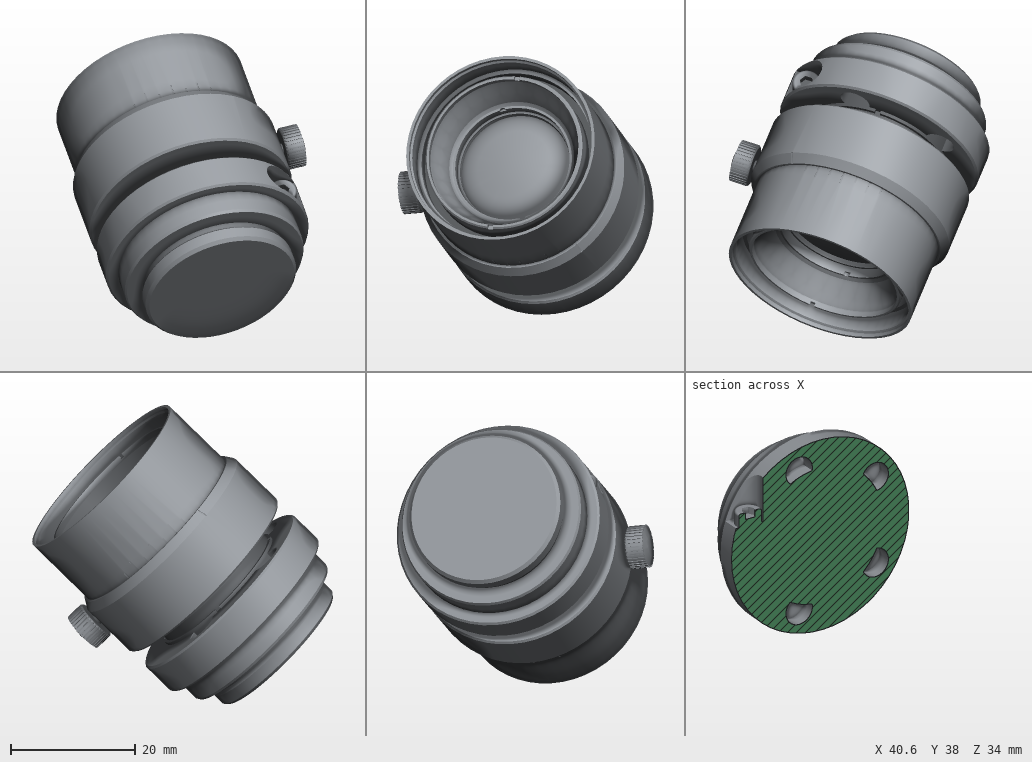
import cadquery as cq
import math

length = 40.6
overall_depth = 37.95
overall_height = 34.0

barrel_radius = 31.3 / 2
body_start = 12.4
body_radius = overall_height / 2
body_cone_length = 1.45
body_cone_radius = 16.1
body_end = 23.45
edge_chamfer = 0.32

groove_radius = 22.5 / 2
groove_end = 24.25
neck_start = 24.6
neck_radius = 11.45
flange_start = 26.4
flange_radius = 12.02

ring_start = 26.95
ring_end = 32.75
mount_end = 36.8
mount_radius = 30.0 / 2
mount_chamfer_length = 0.45
mount_chamfer_depth = 0.25
relief_end = 37.75
relief_radius = 12.15
thread_radius = 12.65
thread_chamfer_length = 0.53

rim_radius = 15.2
rim_depth = 0.7
filter_radius = 14.9
filter_depth = 4.3
trough_step_radius = 14.2
trough_depth = 6.5
retainer_radius = 13.05
retainer_front = 2.05
retainer_chamfer = 0.25
funnel_start_radius = 12.45
funnel_start_depth = 3.05
funnel_end_radius = 10.4
funnel_end_depth = 7.25
inner_ring_outer_radius = 19.8 / 2
inner_ring_front = 7.65
inner_ring_radius = 19.0 / 2
inner_ring_depth = 9.3
lens_seat_radius = 9.15
lens_seat_depth = 9.6
lens_radius = 18.0 / 2
lens_edge_depth = 10.07
lens_bulge = 1.2

notch_angle = 10.0
outer_notch_diameter = 1.0
outer_notch_circle = 12.75
inner_notch_diameter = 1.1
inner_notch_circle = 9.3
notch_depth = 0.6

flange_slot_width = 0.85
flange_slot_count = 4

pocket_diameter = 4.95
pocket_circle = 13.0
pocket_depth = 4.87
pocket_places = 5

screw_x = (ring_start + ring_end) / 2
screw_y = 13.4
screw_seat_z = 5.35
screw_seat_width = 5.05
screw_head_diameter = 4.5
screw_head_top = 7.7
screw_head_fillet = 0.4
socket_flats = 2.0
socket_depth = 1.2

knob_x = 16.4
knob_diameter = 6.9
knob_start = 17.4
knob_crown_start = 20.45
knob_end = overall_depth - body_radius
knob_chamfer = 0.25
stem_diameter = 2.0
knurl_count = 36
knurl_width = 0.25
knurl_depth = 0.15

mark_width = 0.3
index_mark_angle = 35.8
index_mark_depth = 0.12
tick_depth = 0.06
tick_count = 7
tick_pitch = 8.0
tick_middle_angle = -1.6
short_tick = 1.05
long_tick = 2.07


def polar(radius, angle):
    """Y and Z of a point; the angle runs from +Z towards -Y, in degrees."""
    turn = math.radians(angle)
    return -radius * math.sin(turn), radius * math.cos(turn)


def rod(x, y, z, diameter, depth):
    """A cylinder that starts at (x, y, z) and runs along +X."""
    return cq.Workplane("YZ", origin=(x, y, z)).circle(diameter / 2).extrude(depth)


def about_axis(profile):
    """Revolve a closed XY outline around the optical axis."""
    return profile.close().revolve(360, (0, 0, 0), (1, 0, 0))


def front_section():
    """Barrel, focus body and neck up to the clamp ring."""
    outline = (
        cq.Workplane("XY")
        .moveTo(0, 0)
        .lineTo(0, barrel_radius)
        .lineTo(body_start, barrel_radius)
        .lineTo(body_start, body_cone_radius)
        .lineTo(body_start + body_cone_length, body_radius)
        .lineTo(body_end - edge_chamfer, body_radius)
        .lineTo(body_end, body_radius - edge_chamfer)
        .lineTo(body_end, groove_radius)
        .lineTo(groove_end, groove_radius)
        .lineTo(neck_start, neck_radius)
        .lineTo(flange_start, neck_radius)
        .lineTo(flange_start, flange_radius)
        .lineTo(ring_end, flange_radius)
        .lineTo(ring_end, 0)
    )
    section = about_axis(outline)
    for i in range(flange_slot_count):
        slot = (
            cq.Workplane("XY")
            .box(ring_start - flange_start, flange_slot_width, flange_radius, centered=(False, True, False))
            .translate((flange_start, 0, neck_radius))
            .rotate((0, 0, 0), (1, 0, 0), i * 360 / flange_slot_count)
        )
        section = section.cut(slot)
    return section


def clamp_ring():
    """Chamfered ring with pockets spaced evenly around it, none at the clamp screw on +Y."""
    ring = (
        cq.Workplane("YZ", origin=(ring_start, 0, 0))
        .circle(body_radius)
        .extrude(ring_end - ring_start)
        .edges()
        .chamfer(edge_chamfer)
    )
    for i in range(1, pocket_places):
        y, z = polar(pocket_circle, -90 + i * 360 / pocket_places)
        ring = ring.cut(rod(ring_start, y, z, pocket_diameter, pocket_depth))
    return ring


def camera_mount():
    """Shoulder behind the clamp ring, thread relief and chamfered thread cylinder."""
    outline = (
        cq.Workplane("XY")
        .moveTo(ring_end, 0)
        .lineTo(ring_end, mount_radius)
        .lineTo(mount_end - mount_chamfer_length, mount_radius)
        .lineTo(mount_end, mount_radius - mount_chamfer_depth)
        .lineTo(mount_end, relief_radius)
        .lineTo(relief_end, relief_radius)
        .lineTo(relief_end + thread_radius - relief_radius, thread_radius)
        .lineTo(length - thread_chamfer_length, thread_radius)
        .lineTo(length, relief_radius)
        .lineTo(length, 0)
    )
    return about_axis(outline)


def front_cavity():
    """Stepped opening around a standing retainer ring, ending on the convex front lens."""
    lens_sphere_radius = (lens_radius**2 + lens_bulge**2) / (2 * lens_bulge)
    lens_apex = lens_edge_depth - lens_bulge
    half_angle = math.asin(lens_radius / lens_sphere_radius) / 2
    lens_mid_x = lens_apex + lens_sphere_radius * (1 - math.cos(half_angle))
    lens_mid_radius = lens_sphere_radius * math.sin(half_angle)
    outline = (
        cq.Workplane("XY")
        .moveTo(0, 0)
        .lineTo(0, rim_radius)
        .lineTo(rim_depth, rim_radius)
        .lineTo(rim_depth + rim_radius - filter_radius, filter_radius)
        .lineTo(filter_depth, filter_radius)
        .lineTo(filter_depth, trough_step_radius)
        .lineTo(trough_depth, trough_step_radius)
        .lineTo(trough_depth, retainer_radius)
        .lineTo(retainer_front + retainer_chamfer, retainer_radius)
        .lineTo(retainer_front, retainer_radius - retainer_chamfer)
        .lineTo(retainer_front, funnel_start_radius)
        .lineTo(funnel_start_depth, funnel_start_radius)
        .lineTo(funnel_end_depth, funnel_end_radius)
        .lineTo(inner_ring_front, inner_ring_outer_radius)
        .lineTo(inner_ring_front, inner_ring_radius)
        .lineTo(inner_ring_depth, inner_ring_radius)
        .lineTo(inner_ring_depth, lens_seat_radius)
        .lineTo(lens_seat_depth, lens_seat_radius)
        .lineTo(lens_edge_depth, lens_radius)
        .threePointArc((lens_mid_x, lens_mid_radius), (lens_apex, 0))
    )
    return about_axis(outline)


def spanner_notches():
    """Opposite pairs of blind notches in the retainer ring and the inner ring."""
    notches = cq.Workplane("XY")
    for side in (0, 180):
        y, z = polar(outer_notch_circle, notch_angle + side)
        notches = notches.add(rod(retainer_front, y, z, outer_notch_diameter, notch_depth))
        y, z = polar(inner_notch_circle, side - notch_angle)
        notches = notches.add(rod(inner_ring_front, y, z, inner_notch_diameter, notch_depth))
    return notches.combine()


def screw_seat():
    """U-shaped flat cut into the clamp ring, open towards +Y."""
    seat_plane = cq.Workplane("XY", origin=(screw_x, screw_y, screw_seat_z))
    round_end = seat_plane.circle(screw_seat_width / 2).extrude(body_radius)
    open_end = seat_plane.rect(screw_seat_width, body_radius).extrude(body_radius)
    open_end = open_end.translate((0, body_radius / 2, 0))
    return round_end.union(open_end)


def clamp_screw():
    """Rounded cylindrical head with a hexagon socket."""
    socket_corners = socket_flats / math.cos(math.pi / 6)
    head = (
        cq.Workplane("XY", origin=(screw_x, screw_y, screw_seat_z))
        .circle(screw_head_diameter / 2)
        .extrude(screw_head_top - screw_seat_z)
        .faces(">Z")
        .edges()
        .fillet(screw_head_fillet)
    )
    socket = (
        cq.Workplane("XY", origin=(screw_x, screw_y, screw_head_top))
        .transformed(rotate=(0, 0, 30))
        .polygon(6, socket_corners)
        .extrude(-socket_depth)
    )
    return head.cut(socket)


def thumb_screw():
    """Knurled knob with a domed end on a thin stem."""
    knob_radius = knob_diameter / 2
    crown_radius = knob_radius - knob_chamfer
    crown_height = knob_end - knob_crown_start
    crown_sphere_radius = (crown_radius**2 + crown_height**2) / (2 * crown_height)
    crown_mid_drop = crown_sphere_radius - math.sqrt(crown_sphere_radius**2 - (crown_radius / 2) ** 2)
    outline = (
        cq.Workplane("XY")
        .moveTo(0, knob_start)
        .lineTo(knob_radius - knob_chamfer, knob_start)
        .lineTo(knob_radius, knob_start + knob_chamfer)
        .lineTo(knob_radius, knob_crown_start)
        .lineTo(crown_radius, knob_crown_start)
        .threePointArc((crown_radius / 2, knob_end - crown_mid_drop), (0, knob_end))
    )
    knob = outline.close().revolve(360, (0, 0, 0), (0, 1, 0))
    grooves = (
        cq.Workplane("XZ", origin=(0, knob_start, 0))
        .polarArray(knob_radius, 0, 360, knurl_count)
        .rect(2 * knurl_depth, knurl_width)
        .extrude(-(knob_end - knob_start))
    )
    stem_start = body_radius - stem_diameter
    stem = (
        cq.Workplane("XZ", origin=(0, stem_start, 0))
        .circle(stem_diameter / 2)
        .extrude(stem_start - knob_crown_start)
    )
    return knob.cut(grooves).union(stem).translate((knob_x, 0, 0))


def barrel_tick(tick_length, angle):
    """Shallow axial groove on the barrel, ending at the focus body."""
    return (
        cq.Workplane("XY")
        .box(tick_length, mark_width, 2 * tick_depth)
        .translate((body_start - tick_length / 2, 0, barrel_radius))
        .rotate((0, 0, 0), (1, 0, 0), angle)
    )


def index_mark(angle):
    """Shallow groove running up the cone at the front of the focus body."""
    cone_rise = body_radius - body_cone_radius
    return (
        cq.Workplane("XZ")
        .moveTo(body_start, body_cone_radius - index_mark_depth)
        .lineTo(body_start + body_cone_length, body_radius - index_mark_depth)
        .lineTo(body_start + body_cone_length, body_radius + cone_rise)
        .lineTo(body_start, body_radius + cone_rise)
        .close()
        .extrude(mark_width / 2, both=True)
        .rotate((0, 0, 0), (1, 0, 0), angle)
    )


def engraved_marks():
    """Two opposite sets of ticks, alternately short and long, each with an index mark."""
    marks = cq.Workplane("XY")
    for side in (0, 180):
        marks = marks.add(index_mark(side - index_mark_angle))
        for i in range(tick_count):
            tick_length = long_tick if i % 2 else short_tick
            angle = tick_middle_angle + (i - tick_count // 2) * tick_pitch
            marks = marks.add(barrel_tick(tick_length, side + angle))
    return marks.combine()


result = (
    clamp_ring()
    .cut(screw_seat())
    .union(front_section())
    .union(camera_mount())
    .cut(front_cavity())
    .cut(spanner_notches())
    .cut(engraved_marks())
    .union(clamp_screw())
    .union(thumb_screw())
)